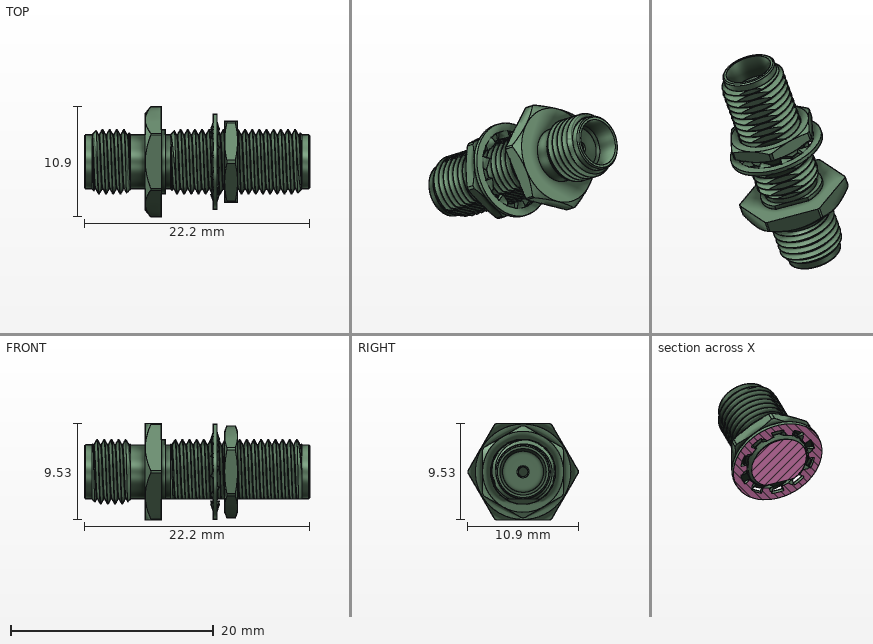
import cadquery as cq
import math


length = 22.23
front_thread_start = 0.76
front_thread_end = 4.57
flange_start = 6.0
flange_end = 7.60
shoulder_end = 8.00
rear_thread_start = 8.50
rear_thread_end = 21.45

barrel_radius = 5.33 / 2
thread_radius = 6.35 / 2
pitch = 25.4 / 36
crest_width = 0.06
foot_width = 0.68
foot_radius = barrel_radius - 0.05
front_crest_x = 1.97
rear_crest_x = 10.37
rim_chamfer = 0.13

clearance = 0.02
hole_radius = thread_radius + clearance
flat_z = -(barrel_radius + clearance)

bore_radius = 4.57 / 2
bore_depth = 2.3
seat_radius = 4.06 / 2
seat_depth = bore_radius - seat_radius
contact_radius = 0.94 / 2
contact_mouth_radius = 1.19 / 2
contact_depth = 2.5

flange_flats = 9.525
flange_corner_radius = 10.88 / 2
flange_face_radius = 9.50 / 2
flange_chamfer_length = 0.55

nut_start = 13.83
nut_length = 1.27
nut_flats = 8.0
nut_corner_radius = 9.06 / 2
nut_face_radius = nut_flats / 2 - 0.01
nut_chamfer_length = 0.22

washer_start = 12.69
washer_thickness = 0.40
washer_radius = 9.4 / 2
washer_inner_radius = 3.90
tooth_count = 10
tooth_first_angle = 180 / tooth_count
tooth_tip_radius = 3.20
tooth_embed = 0.2
tooth_width = 1.2
tooth_twist = -25.0


def revolve_about_x(points):
    """Turn a closed outline of (x, radius) points about the X axis."""
    return cq.Workplane("XY").polyline(points).close().revolve(360, (0, 0, 0), (1, 0, 0))


def cylinder(start, end, radius):
    return cq.Workplane("YZ", origin=(start, 0, 0)).circle(radius).extrude(end - start)


def hexagon(start, end, flats):
    """Hexagonal prism along X with one pair of flats square to Z."""
    return (
        cq.Workplane("YZ", origin=(start, 0, 0))
        .polygon(6, flats / math.cos(math.pi / 6))
        .extrude(end - start)
    )


def trim_below_flat(body):
    """Remove everything below the flat along the underside of the rear thread."""
    size = 2 * length
    waste = cq.Workplane("XY", origin=(0, 0, flat_z - size / 2)).box(size, size, size)
    return body.cut(waste, clean=False)


def threaded_rod(start, end, crest_x):
    """Rod with a right-handed thread and tapered ends; a crest crosses +Z at crest_x."""
    turns_before = math.ceil((crest_x - start) / pitch) + 1
    helix_start = crest_x - turns_before * pitch
    turns = math.ceil((end - helix_start) / pitch) + 1
    helix = cq.Wire.makeHelix(pitch, turns * pitch, barrel_radius)
    ridge = (
        cq.Workplane("XZ")
        .polyline(
            [
                (foot_radius, -foot_width / 2),
                (thread_radius, -crest_width / 2),
                (thread_radius, crest_width / 2),
                (foot_radius, foot_width / 2),
            ]
        )
        .close()
        .sweep(cq.Workplane(helix), isFrenet=True)
    )
    along_x = cq.Plane(origin=(helix_start, 0, 0), xDir=(0, 0, 1), normal=(1, 0, 0))
    ridge = cq.Workplane(ridge.val().moved(along_x.location))
    rod = cylinder(start - 2 * pitch, end + 2 * pitch, barrel_radius).union(ridge, clean=False)
    end_radius = barrel_radius + clearance
    outer_radius = thread_radius + clearance
    taper = outer_radius - end_radius
    envelope = revolve_about_x(
        [
            (start, 0),
            (start, end_radius),
            (start + taper, outer_radius),
            (end - taper, outer_radius),
            (end, end_radius),
            (end, 0),
        ]
    )
    return rod.intersect(envelope, clean=False)


def make_flange():
    blank = revolve_about_x(
        [
            (flange_start, 0),
            (flange_start, flange_face_radius),
            (flange_start + flange_chamfer_length, flange_corner_radius),
            (flange_end, flange_corner_radius),
            (flange_end, 0),
        ]
    )
    return hexagon(flange_start, flange_end, flange_flats).intersect(blank)


def make_socket():
    """Stepped bore that opens at x = 0 and runs toward +X."""
    seat_end = bore_depth + seat_depth
    mouth_chamfer = contact_mouth_radius - contact_radius
    return revolve_about_x(
        [
            (0, 0),
            (0, bore_radius),
            (bore_depth, bore_radius),
            (seat_end, seat_radius),
            (seat_end, contact_mouth_radius),
            (seat_end + mouth_chamfer, contact_radius),
            (seat_end + contact_depth, contact_radius),
            (seat_end + contact_depth, 0),
        ]
    )


def make_connector():
    barrel = cylinder(0, length, barrel_radius).faces("<X or >X").chamfer(rim_chamfer)
    shoulder = cylinder(flange_end, shoulder_end, thread_radius)
    front_thread = threaded_rod(front_thread_start, front_thread_end, front_crest_x)
    rear_thread = threaded_rod(rear_thread_start, rear_thread_end, rear_crest_x)
    body = trim_below_flat(barrel.union(shoulder))
    body = body.union(trim_below_flat(rear_thread), clean=False)
    body = body.union(front_thread, clean=False)
    body = body.union(make_flange(), clean=False)
    socket = make_socket()
    far_socket = socket.mirror("YZ").translate((length, 0, 0))
    return body.cut(socket, clean=False).cut(far_socket, clean=False)


def make_washer():
    washer_end = washer_start + washer_thickness
    washer = cylinder(washer_start, washer_end, washer_radius)
    washer = washer.cut(cylinder(washer_start, washer_end, washer_inner_radius))
    middle = washer_start + washer_thickness / 2
    root_radius = washer_inner_radius
    tooth = (
        cq.Workplane("XY", origin=(middle, 0, root_radius))
        .rect(washer_thickness, tooth_width)
        .workplane(offset=tooth_tip_radius - root_radius)
        .transformed(rotate=(0, 0, tooth_twist))
        .rect(washer_thickness, tooth_width)
        .loft(ruled=True)
    )
    tooth_root = cq.Workplane("XY", origin=(middle, 0, root_radius + tooth_embed / 2)).box(
        washer_thickness, tooth_width, tooth_embed
    )
    tooth = tooth.union(tooth_root)
    for index in range(tooth_count):
        angle = tooth_first_angle + index * 360 / tooth_count
        washer = washer.union(tooth.rotate((0, 0, 0), (1, 0, 0), angle))
    return washer


def make_nut():
    nut_end = nut_start + nut_length
    blank = revolve_about_x(
        [
            (nut_start, 0),
            (nut_start, nut_face_radius),
            (nut_start + nut_chamfer_length, nut_corner_radius),
            (nut_end - nut_chamfer_length, nut_corner_radius),
            (nut_end, nut_face_radius),
            (nut_end, 0),
        ]
    )
    hexagonal = hexagon(nut_start, nut_end, nut_flats).rotate((0, 0, 0), (1, 0, 0), 90)
    return hexagonal.intersect(blank).cut(cylinder(nut_start, nut_end, hole_radius))


connector = make_connector()
washer = make_washer()
nut = make_nut()
result = cq.Compound.makeCompound([connector.val(), washer.val(), nut.val()])